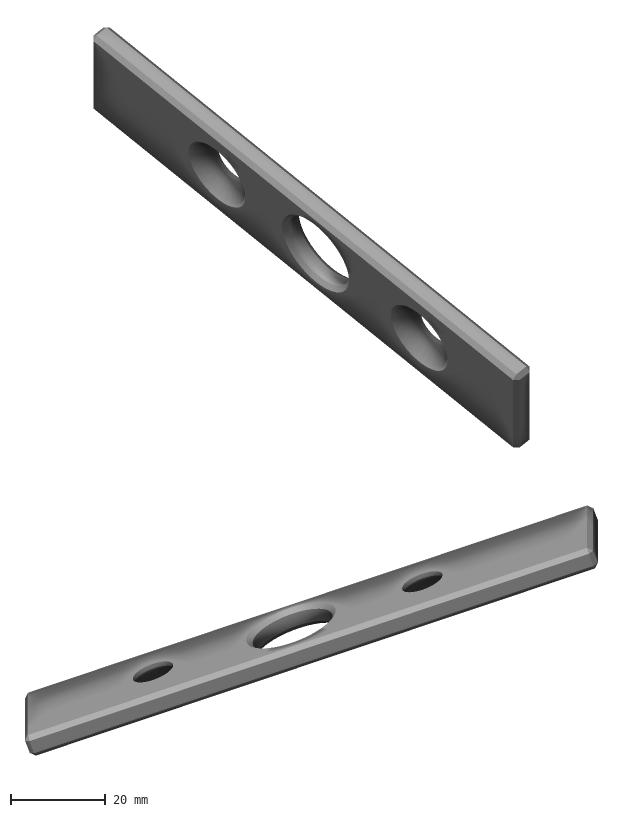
import cadquery as cq

length = 127.5
thickness = 5.0
height = 26.0
edge_chamfer = 1.0

bore_diameter = 18.0
bore_x = 3.7
bore_z = 0.3
bore_chamfer = 1.0

screw_diameter = 9.0
sink_diameter = 17.0
sink_depth = (sink_diameter - screw_diameter) / 2
screw_spacing = 60.5
screw_middle_x = 4.5

front_y = -thickness / 2


def conical_hole(x, z, diameter, mouth_diameter, depth):
    """Through hole along Y with a cone that opens to the front (-Y) face."""
    mouth_center = cq.Vector(x, front_y, z)
    inward = cq.Vector(0, 1, 0)
    shaft = cq.Solid.makeCylinder(diameter / 2, thickness, mouth_center, inward)
    cone = cq.Solid.makeCone(mouth_diameter / 2, diameter / 2, depth, mouth_center, inward)
    return cq.Workplane(shaft).union(cq.Workplane(cone))


result = cq.Workplane("XY").box(length, thickness, height).edges().chamfer(edge_chamfer)

bore = conical_hole(bore_x, bore_z, bore_diameter, bore_diameter + 2 * bore_chamfer, bore_chamfer)
result = result.cut(bore).cut(bore.mirror("XZ"))

for side in (-1, 1):
    screw_x = screw_middle_x + side * screw_spacing / 2
    result = result.cut(conical_hole(screw_x, 0, screw_diameter, sink_diameter, sink_depth))